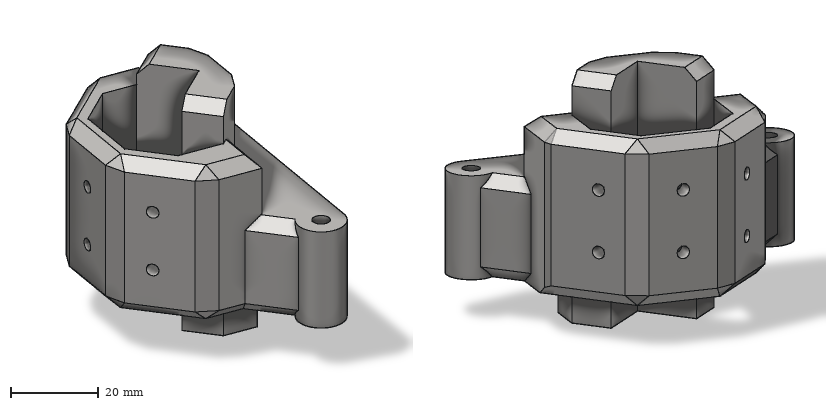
import cadquery as cq
import math

BLOCK_TOP = 60.0
BODY_BOTTOM = 10.0
COLLAR_TOP = 50.0
PLATE_TOP = 35.0
CHAMFER = 3.0

LUG_X = 36.5
LUG_RADIUS = 6.0
LUG_HOLE_DIAMETER = 4.2

V_APEX_Y = -11.5
V_TIP_X = 10.5
V_HALF_WIDTH = 17.5
V_BACK_Y = -LUG_RADIUS

COLLAR_HALF_WIDTH = 27.5
COLLAR_BACK_Y = -10.5
COLLAR_FRONT_Y = -41.0
LEFT_CORNER_CUT = 1.2
FRONT_WALL = 5.0
BORE_FRONT_HALF = 8.5

SCREW_DIAMETER = 3.0
SCREW_HEIGHTS = (22.5, 37.5)
DIAGONAL_SCREW_X = 18.25

HALF_ROOT = math.sqrt(0.5)
OCTAGON_RATIO = math.tan(math.radians(22.5))
INSET_SHIFT = CHAMFER * OCTAGON_RATIO
COLLAR_FRONT_HALF = COLLAR_HALF_WIDTH * OCTAGON_RATIO
V_TIP_Y = V_APEX_Y - V_TIP_X
V_SIDE_Y = V_TIP_Y + V_HALF_WIDTH - V_TIP_X
BORE_FRONT_Y = COLLAR_FRONT_Y + FRONT_WALL
COLLAR_SIDE_Y = COLLAR_FRONT_Y + COLLAR_HALF_WIDTH - COLLAR_FRONT_HALF
BORE_SIDE_Y = BORE_FRONT_Y + V_HALF_WIDTH - BORE_FRONT_HALF
REACH = 100.0


def prism(points, bottom, top):
    """Vertical prism on a closed plan outline."""
    return cq.Workplane("XY").workplane(offset=bottom).polyline(points).close().extrude(top - bottom)


def mirrored(right_points):
    """Closed outline from its right half, listed from back to front."""
    return right_points + [(-x, y) for x, y in reversed(right_points) if x != 0]


def half_space(point, normal):
    """Large block that fills the side of a plane its normal points to."""
    plane = cq.Plane(origin=point, normal=normal)
    return cq.Workplane(plane).rect(2 * REACH, 2 * REACH).extrude(REACH)


def trim_edge(body, x, y, z, outward, vertical):
    """Cut a 45 degree chamfer on a horizontal edge through (x, y, z) of a wall facing `outward`."""
    start = (x, y, z - vertical * CHAMFER)
    normal = (outward[0], outward[1], vertical)
    return body.cut(half_space(start, normal))


def trim_corner(body, first, second):
    """Cut a vertical corner flat between two plan points, listed counter-clockwise."""
    normal = (second[1] - first[1], first[0] - second[0], 0)
    return body.cut(half_space((*first, 0), normal))


def trim_corner_end(body, first, second, apex, end_z, vertical):
    """Cut the sloped triangle that closes a corner cut at the top (1) or bottom (-1) of the collar."""
    edge = cq.Vector(second[0] - first[0], second[1] - first[1], 0)
    rise = cq.Vector(apex[0] - first[0], apex[1] - first[1], vertical * CHAMFER)
    normal = edge.cross(rise) * vertical
    return body.cut(half_space((*first, end_z - vertical * CHAMFER), normal.toTuple()))


def make_plate():
    """Trapezoid plate with a round lug at each end and chamfered slanted walls."""
    slant_depth = LUG_X - V_HALF_WIDTH
    outline = mirrored([
        (LUG_X, LUG_RADIUS),
        (LUG_X, -LUG_RADIUS),
        (V_HALF_WIDTH, -LUG_RADIUS - slant_depth),
    ])
    plate = prism(outline, BODY_BOTTOM, PLATE_TOP)
    for side in (-1, 1):
        outward = (side * HALF_ROOT, -HALF_ROOT)
        for z, vertical in ((PLATE_TOP, 1), (BODY_BOTTOM, -1)):
            plate = trim_edge(plate, side * LUG_X, -LUG_RADIUS, z, outward, vertical)
    lugs = (
        cq.Workplane("XY").workplane(offset=BODY_BOTTOM)
        .pushPoints([(-LUG_X, 0), (LUG_X, 0)])
        .circle(LUG_RADIUS).extrude(PLATE_TOP - BODY_BOTTOM)
    )
    return plate.union(lugs)


def make_collar():
    """Six-sided collar with chamfered rims and flattened vertical corners."""
    collar = prism(mirrored([
        (COLLAR_HALF_WIDTH, COLLAR_BACK_Y),
        (COLLAR_HALF_WIDTH, COLLAR_SIDE_Y),
        (COLLAR_FRONT_HALF, COLLAR_FRONT_Y),
    ]), BODY_BOTTOM, COLLAR_TOP)

    collar = trim_edge(collar, 0, COLLAR_BACK_Y, COLLAR_TOP, (0, 1), 1)
    for side in (-1, 1):
        collar = trim_edge(collar, side * COLLAR_HALF_WIDTH, 0, COLLAR_TOP, (side, 0), 1)
    for z, vertical in ((COLLAR_TOP, 1), (BODY_BOTTOM, -1)):
        collar = trim_edge(collar, 0, COLLAR_FRONT_Y, z, (0, -1), vertical)
        for side in (-1, 1):
            outward = (side * HALF_ROOT, -HALF_ROOT)
            collar = trim_edge(collar, side * COLLAR_FRONT_HALF, COLLAR_FRONT_Y, z, outward, vertical)
    collar = trim_edge(collar, COLLAR_HALF_WIDTH, 0, BODY_BOTTOM, (1, 0), -1)

    side_apex_x = COLLAR_HALF_WIDTH - CHAMFER
    side_apex_y = COLLAR_SIDE_Y + INSET_SHIFT
    left_fall = LEFT_CORNER_CUT * HALF_ROOT
    left_first = (-COLLAR_HALF_WIDTH, COLLAR_SIDE_Y + LEFT_CORNER_CUT)
    left_second = (-COLLAR_HALF_WIDTH + left_fall, COLLAR_SIDE_Y - left_fall)
    right_fall = CHAMFER * HALF_ROOT
    right_first = (COLLAR_HALF_WIDTH - right_fall, COLLAR_SIDE_Y - right_fall)
    right_second = (COLLAR_HALF_WIDTH, COLLAR_SIDE_Y + CHAMFER)
    collar = trim_corner(collar, left_first, left_second)
    collar = trim_corner_end(collar, left_first, left_second, (-side_apex_x, side_apex_y), COLLAR_TOP, 1)
    collar = trim_corner(collar, right_first, right_second)
    for z, vertical in ((COLLAR_TOP, 1), (BODY_BOTTOM, -1)):
        collar = trim_corner_end(collar, right_first, right_second, (side_apex_x, side_apex_y), z, vertical)

    near_x = COLLAR_FRONT_HALF - CHAMFER
    far_x = COLLAR_FRONT_HALF + CHAMFER * HALF_ROOT
    far_y = COLLAR_FRONT_Y + CHAMFER * HALF_ROOT
    front_apex_x = COLLAR_FRONT_HALF - INSET_SHIFT
    front_apex_y = COLLAR_FRONT_Y + CHAMFER
    front_corners = (
        ((-far_x, far_y), (-near_x, COLLAR_FRONT_Y), (-front_apex_x, front_apex_y)),
        ((near_x, COLLAR_FRONT_Y), (far_x, far_y), (front_apex_x, front_apex_y)),
    )
    for first, second, apex in front_corners:
        collar = trim_corner(collar, first, second)
        for z, vertical in ((COLLAR_TOP, 1), (BODY_BOTTOM, -1)):
            collar = trim_corner_end(collar, first, second, apex, z, vertical)
    return collar


def make_v_block():
    """Block with square sides below the plate top and slanted back corners above it."""
    lower = prism(mirrored([
        (V_HALF_WIDTH, V_BACK_Y),
        (V_HALF_WIDTH, V_SIDE_Y),
        (V_TIP_X, V_TIP_Y),
        (0, V_APEX_Y),
    ]), 0, PLATE_TOP)
    back_corner_x = V_HALF_WIDTH - (V_BACK_Y - V_SIDE_Y)
    fall = CHAMFER * HALF_ROOT
    upper = prism(mirrored([
        (back_corner_x - CHAMFER, V_BACK_Y),
        (back_corner_x + fall, V_BACK_Y - fall),
        (V_HALF_WIDTH, V_SIDE_Y),
        (V_TIP_X, V_TIP_Y),
        (0, V_APEX_Y),
    ]), PLATE_TOP, BLOCK_TOP)
    for side in (-1, 1):
        outward = (side * HALF_ROOT, -HALF_ROOT)
        upper = trim_edge(upper, side * V_TIP_X, V_TIP_Y, BLOCK_TOP, outward, 1)
    return lower.union(upper)


def make_bore():
    """Clear space between the V faces and the front walls of the collar."""
    return prism(mirrored([
        (0, V_APEX_Y),
        (V_TIP_X, V_TIP_Y),
        (V_HALF_WIDTH, V_SIDE_Y),
        (V_HALF_WIDTH, BORE_SIDE_Y),
        (BORE_FRONT_HALF, BORE_FRONT_Y),
    ]), 0, BLOCK_TOP)


def drill_lugs(body):
    holes = (
        cq.Workplane("XY")
        .pushPoints([(-LUG_X, 0), (LUG_X, 0)])
        .circle(LUG_HOLE_DIAMETER / 2).extrude(BLOCK_TOP)
    )
    return body.cut(holes)


def drill_screw_holes(body):
    """Holes square to the front wall and to both diagonal walls, ending in the bore."""
    depth = COLLAR_HALF_WIDTH - V_HALF_WIDTH
    diagonal_y = COLLAR_FRONT_Y + DIAGONAL_SCREW_X - COLLAR_FRONT_HALF
    screws = (
        (0, COLLAR_FRONT_Y, (0, 1, 0)),
        (-DIAGONAL_SCREW_X, diagonal_y, (1, 1, 0)),
        (DIAGONAL_SCREW_X, diagonal_y, (-1, 1, 0)),
    )
    for x, y, inward in screws:
        for z in SCREW_HEIGHTS:
            plane = cq.Plane(origin=(x, y, z), normal=inward)
            body = body.cut(cq.Workplane(plane).circle(SCREW_DIAMETER / 2).extrude(depth))
    return body


body = make_plate().union(make_collar()).cut(make_bore()).union(make_v_block())
result = drill_screw_holes(drill_lugs(body))